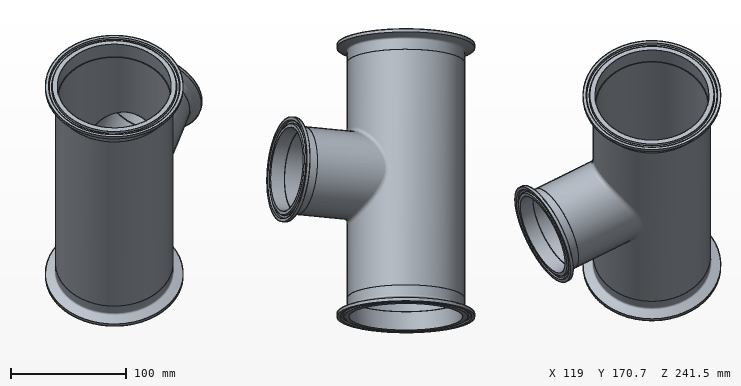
import cadquery as cq
import math

run_length = 241.5
overall_depth = 170.7

run_radius = 101.6 / 2
branch_radius = 38.1
tube_wall = 2.2
ferrule_wall = 1.7
saddle_fillet = 3.5

run_flange_radius = 119.0 / 2
branch_flange_radius = 91.0 / 2
run_ferrule_length = 16.2
branch_ferrule_length = 12.8
rim_thickness = 3.0
flange_slope = math.radians(20)
neck_fillet = 1.7

branch_reach = overall_depth - run_flange_radius

groove_inset = 4.3
groove_width = 3.5
groove_floor_width = 2.0
groove_depth = 1.5


def make_ferrule(tube_radius, flange_radius, length):
    """Ferrule on the Z axis: face at z = 0, neck running down to z = -length."""
    bore_radius = tube_radius - ferrule_wall
    cone_drop = (flange_radius - tube_radius) * math.tan(flange_slope)
    cone_end = -rim_thickness - cone_drop

    turn = math.pi / 2 - flange_slope
    tangent = neck_fillet * math.tan(turn / 2)
    arc_start = (
        tube_radius + tangent * math.cos(flange_slope),
        cone_end + tangent * math.sin(flange_slope),
    )
    arc_center_r = tube_radius + neck_fillet
    arc_center_z = cone_end - tangent
    mid_angle = math.pi - turn / 2
    arc_middle = (
        arc_center_r + neck_fillet * math.cos(mid_angle),
        arc_center_z + neck_fillet * math.sin(mid_angle),
    )

    groove_radius = flange_radius - groove_inset
    profile = (
        cq.Workplane("XZ")
        .moveTo(bore_radius, -length)
        .lineTo(bore_radius, 0)
        .lineTo(groove_radius - groove_width / 2, 0)
        .lineTo(groove_radius - groove_floor_width / 2, -groove_depth)
        .lineTo(groove_radius + groove_floor_width / 2, -groove_depth)
        .lineTo(groove_radius + groove_width / 2, 0)
        .lineTo(flange_radius, 0)
        .lineTo(flange_radius, -rim_thickness)
        .lineTo(*arc_start)
        .threePointArc(arc_middle, (tube_radius, arc_center_z))
        .lineTo(tube_radius, -length)
        .close()
    )
    return profile.revolve(360, (0, 0, 0), (0, 1, 0))


def make_tee():
    """Run and branch tubes in one piece, filleted where they meet outside."""
    tube_length = run_length - 2 * run_ferrule_length
    branch_end = branch_reach - branch_ferrule_length
    run = cq.Workplane("XY").circle(run_radius).extrude(tube_length / 2, both=True)
    branch = cq.Workplane("XZ").circle(branch_radius).extrude(-branch_end)
    saddle_box = cq.selectors.BoxSelector(
        (-run_radius, 0, -branch_radius - tube_wall),
        (run_radius, run_radius + tube_wall, branch_radius + tube_wall),
    )
    outside = run.union(branch).edges(saddle_box).edges("not(%LINE or %CIRCLE)").fillet(saddle_fillet)
    run_bore = cq.Workplane("XY").circle(run_radius - tube_wall).extrude(tube_length / 2, both=True)
    branch_bore = cq.Workplane("XZ").circle(branch_radius - tube_wall).extrude(-branch_end)
    return outside.cut(run_bore).cut(branch_bore)


tee = make_tee()

run_ferrules = []
for flip_angle in (0, 180):
    ferrule = make_ferrule(run_radius, run_flange_radius, run_ferrule_length)
    ferrule = ferrule.translate((0, 0, run_length / 2)).rotate((0, 0, 0), (1, 0, 0), flip_angle)
    run_ferrules.append(ferrule.val())

branch_ferrule = (
    make_ferrule(branch_radius, branch_flange_radius, branch_ferrule_length)
    .translate((0, 0, branch_reach))
    .rotate((0, 0, 0), (1, 0, 0), -90)
)

result = cq.Compound.makeCompound([tee.val(), *run_ferrules, branch_ferrule.val()])